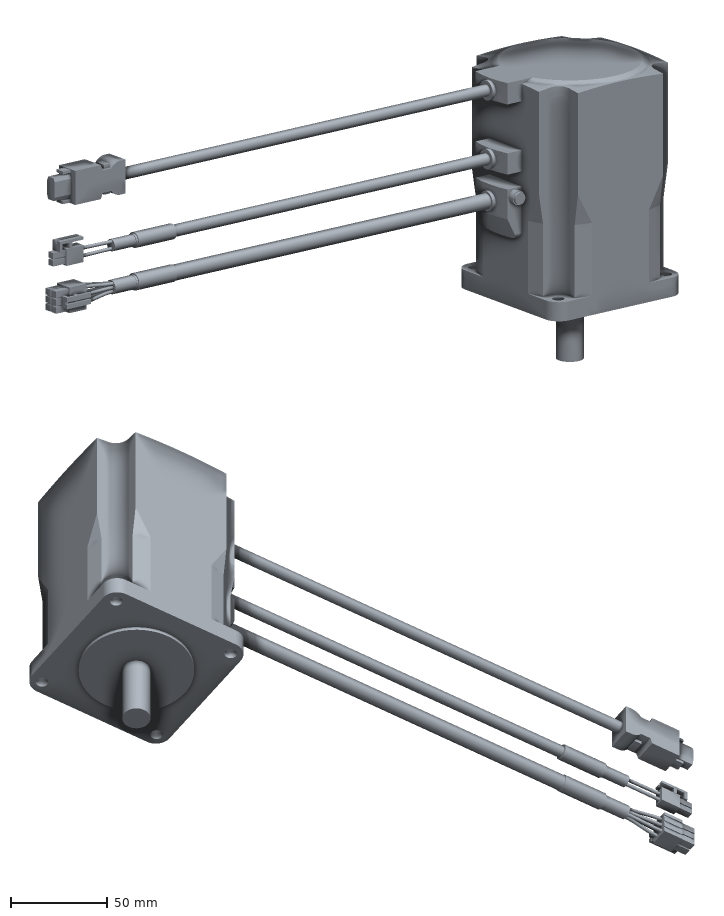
import cadquery as cq
import math

BODY_WIDTH = 85.0
HALF_WIDTH = BODY_WIDTH / 2
CAP_TOP = 125.0
SHAFT_LENGTH = 37.0
SHAFT_RADIUS = 7.5
PILOT_RADIUS = 30.0
PILOT_HEIGHT = 2.0

FLANGE_THICKNESS = 10.5
FLANGE_CORNER_RADIUS = 8.5
MOUNT_HOLE_OFFSET = 35.5
MOUNT_HOLE_RADIUS = 3.27
POCKET_RADIUS = 7.5
POCKET_EDGE = MOUNT_HOLE_OFFSET - POCKET_RADIUS

RELIEF_INNER = 19.0
RELIEF_DEPTH = 2.7
RELIEF_STEP_Z = 50.0
RELIEF_TOP_Z = 67.0

CAP_FLAT_RADIUS = 37.7
CAP_RIM_RADIUS = 41.2
CAP_RIM_Z = 123.5
CAP_CORNER_RADIUS = HALF_WIDTH * math.sqrt(2)
CAP_CORNER_Z = 121.0

BLOCK_HALF_WIDTH = 13.5
BLOCK_HEIGHT = 11.5
BLOCK_SIDE_DEPTH = 9.2
BLOCK_DEPTH = 10.8
POWER_BLOCK_TOP = 67.5
POWER_BLOCK_BOTTOM = 39.3
POWER_SLOPE_Z = 51.2
POWER_BOTTOM_DEPTH = 4.5
POWER_BOTTOM_RADIUS = 3.0
GLAND_RADIUS = 5.5
GLAND_END_DEPTH = 12.7

SCREW_Z = 62.8
SCREW_DEPTH = 4.5
SCREW_RADIUS = 4.0
SCREW_LENGTH = 5.0
SCREW_TIP_RADIUS = 3.27
SCREW_TIP_LENGTH = 1.5

TOTAL_LENGTH = 385.0
TIP_Y = HALF_WIDTH - TOTAL_LENGTH
FACE_Y = -HALF_WIDTH
EMBED = 1.0
ENCODER_Z = 118.5
BRAKE_Z = 81.2
POWER_Z = 58.5
SIGNAL_CABLE_RADIUS = 3.27
POWER_CABLE_RADIUS = 4.2

SLEEVE_BACK = 79.7
SLEEVE_FRONT = 54.5
COLLAR_FRONT = 53.5
JACKET_FRONT = 39.5
BRAKE_SLEEVE_RADIUS = 4.2
POWER_SLEEVE_RADIUS = 4.5
POWER_JACKET_RADIUS = 4.0
COLLAR_STEP = 0.58
WIRE_RADIUS = 0.95
BRAKE_BUNDLE_RATIO = 0.9
POWER_BUNDLE_RATIO = 0.5

PIN_PITCH = 4.2
BRAKE_HOUSING_HALF_WIDTH = 2.9
BRAKE_HOUSING_HALF_HEIGHT = 4.5
POWER_HOUSING_HALF_WIDTH = 7.0
POWER_HOUSING_HALF_HEIGHT = 5.5
HOUSING_BACK = 19.2
HOUSING_FRONT = 8.0
NOSE_INSET = 0.95
NOSE_SLIT = 0.8
HOUSING_GROOVE_WIDTH = 1.5
HOUSING_GROOVE_DEPTH = 0.58
LATCH_TOP = 9.2
LATCH_THICKNESS = 1.5
LATCH_HALF_WIDTH = 3.0
LATCH_SLIT = 1.0
LATCH_FRONT = 3.5
PIVOT_BACK = 12.0
PIVOT_FRONT = 10.0
HOOK_LENGTH = 2.0

PLUG_WIDTH = 13.5
PLUG_HALF_WIDTH = PLUG_WIDTH / 2
PLUG_HALF_HEIGHT = 9.2
PLUG_TOP = 128.5
PLUG_Z = PLUG_TOP - PLUG_HALF_HEIGHT
PLUG_BACK = 44.0
PLUG_FRONT = 10.8
GRIP_START = 40.5
GRIP_MID = 37.0
GRIP_MID_DROP = 0.95
GRIP_FLOOR_BACK = 34.5
GRIP_FLOOR_FRONT = 29.0
GRIP_END = 27.7
GRIP_DEPTH = 3.0
CLIP_X = (-2.5, 4.5)
CLIP_BACK = 35.5
CLIP_FRONT = 31.5
CLIP_HEIGHT = 2.0
PLUG_NOSE_HALF_WIDTH = 3.0
PLUG_NOSE_HALF_HEIGHT = 6.0
PLUG_NOSE_BEVEL_X = 0.8
PLUG_NOSE_BEVEL_Z = 2.0
TAB_HALF_WIDTH = 2.7
TAB_INNER = 7.5
TAB_OUTER = 9.0
TAB_FRONT = 5.8

QUARTER_TURNS = (0, 90, 180, 270)


def box(x_range, y_range, z_range):
    """Box spanning the given (low, high) pairs."""
    spans = (x_range, y_range, z_range)
    size = [high - low for low, high in spans]
    centre = [(high + low) / 2 for low, high in spans]
    return cq.Workplane("XY").box(*size).translate(tuple(centre))


def symmetric_box(half_x, y_range, half_z):
    """Box centred on the Y axis."""
    return box((-half_x, half_x), y_range, (-half_z, half_z))


def rod(radius, y_back, y_front, z):
    """Cylinder along -Y from y_back to y_front at height z."""
    return cq.Workplane("XZ", origin=(0, y_back, z)).circle(radius).extrude(y_back - y_front)


def polyhedron(faces):
    """Solid bounded by flat faces given as lists of points."""
    flat_faces = []
    for points in faces:
        corners = [cq.Vector(*point) for point in points]
        flat_faces.append(cq.Face.makeFromWires(cq.Wire.makePolygon(corners, close=True)))
    return cq.Workplane(obj=cq.Solid.makeSolid(cq.Shell.makeShell(flat_faces)))



def capped_block():
    """Square motor block whose top is a turned shallow cone with a flat cap."""
    block = (
        cq.Workplane("XY")
        .rect(BODY_WIDTH, BODY_WIDTH)
        .extrude(CAP_TOP)
        .edges("|Z")
        .fillet(FLANGE_CORNER_RADIUS)
    )
    turned = (
        cq.Workplane("XZ")
        .moveTo(0, 0)
        .lineTo(CAP_CORNER_RADIUS, 0)
        .lineTo(CAP_CORNER_RADIUS, CAP_CORNER_Z)
        .lineTo(CAP_RIM_RADIUS, CAP_RIM_Z)
        .lineTo(CAP_FLAT_RADIUS, CAP_TOP)
        .lineTo(0, CAP_TOP)
        .close()
        .revolve(360, (0, 0, 0), (0, 1, 0))
    )
    return block.intersect(turned)


def corner_pocket():
    """Screw access pocket above the +X +Y flange corner, with its screw hole."""
    arc_reach = POCKET_RADIUS * math.sqrt(0.5)
    arc_mid = MOUNT_HOLE_OFFSET - arc_reach
    pocket = (
        cq.Workplane("XY", origin=(0, 0, FLANGE_THICKNESS))
        .moveTo(BODY_WIDTH, POCKET_EDGE)
        .lineTo(MOUNT_HOLE_OFFSET, POCKET_EDGE)
        .threePointArc((arc_mid, arc_mid), (POCKET_EDGE, MOUNT_HOLE_OFFSET))
        .lineTo(POCKET_EDGE, BODY_WIDTH)
        .lineTo(BODY_WIDTH, BODY_WIDTH)
        .close()
        .extrude(CAP_TOP)
    )
    hole = (
        cq.Workplane("XY")
        .center(MOUNT_HOLE_OFFSET, MOUNT_HOLE_OFFSET)
        .circle(MOUNT_HOLE_RADIUS)
        .extrude(FLANGE_THICKNESS)
    )
    return pocket.union(hole)


def side_relief():
    """Wedge taken off the +X end of the -Y side, ending in a sloped facet."""
    inner_low = (RELIEF_INNER, FACE_Y, FLANGE_THICKNESS)
    outer_low = (POCKET_EDGE, FACE_Y, FLANGE_THICKNESS)
    deep_low = (POCKET_EDGE, FACE_Y + RELIEF_DEPTH, FLANGE_THICKNESS)
    inner_step = (RELIEF_INNER, FACE_Y, RELIEF_STEP_Z)
    deep_step = (POCKET_EDGE, FACE_Y + RELIEF_DEPTH, RELIEF_STEP_Z)
    outer_top = (POCKET_EDGE, FACE_Y, RELIEF_TOP_Z)
    return polyhedron([
        [inner_low, outer_low, deep_low],
        [inner_low, inner_step, outer_top, outer_low],
        [outer_low, outer_top, deep_step, deep_low],
        [inner_low, deep_low, deep_step, inner_step],
        [inner_step, deep_step, outer_top],
    ])


def motor():
    body = capped_block()
    pocket = corner_pocket()
    relief = side_relief()
    mirrored_relief = relief.mirror("YZ")
    for angle in QUARTER_TURNS:
        for cutter in (pocket, relief, mirrored_relief):
            body = body.cut(cutter.rotate((0, 0, 0), (0, 0, 1), angle))
    pilot = cq.Workplane("XY").circle(PILOT_RADIUS).extrude(-PILOT_HEIGHT)
    shaft = cq.Workplane("XY").circle(SHAFT_RADIUS).extrude(-SHAFT_LENGTH)
    return body.union(pilot).union(shaft)



def block_section(z, y_inside, depth_cut):
    """Workplane at height z holding the bowed block outline, set back by depth_cut."""
    side_y = FACE_Y - BLOCK_SIDE_DEPTH + depth_cut
    front_y = FACE_Y - BLOCK_DEPTH + depth_cut
    return (
        cq.Workplane("XY", origin=(0, 0, z))
        .moveTo(-BLOCK_HALF_WIDTH, y_inside)
        .lineTo(-BLOCK_HALF_WIDTH, side_y)
        .threePointArc((0, front_y), (BLOCK_HALF_WIDTH, side_y))
        .lineTo(BLOCK_HALF_WIDTH, y_inside)
        .close()
    )


def entry_block(z_bottom, z_top, y_inside):
    """Entry block with a bowed front face, starting inside the motor at y_inside."""
    return block_section(z_bottom, y_inside, 0).extrude(z_top - z_bottom)


def power_block():
    """Taller entry block whose bowed front slopes back to rounded lower corners."""
    y_inside = FACE_Y + EMBED
    upper = entry_block(POWER_SLOPE_Z, POWER_BLOCK_TOP, y_inside)
    set_back = BLOCK_DEPTH - POWER_BOTTOM_DEPTH
    sections = [
        block_section(POWER_BLOCK_BOTTOM, y_inside, set_back).val(),
        block_section(POWER_SLOPE_Z, y_inside, 0).val(),
    ]
    lower = cq.Workplane(obj=cq.Solid.makeLoft(sections, True))
    rounded_front = box(
        (-BLOCK_HALF_WIDTH, BLOCK_HALF_WIDTH),
        (FACE_Y - BLOCK_DEPTH, y_inside),
        (POWER_BLOCK_BOTTOM, POWER_BLOCK_TOP),
    )
    rounded_front = rounded_front.edges("|Y and <Z").fillet(POWER_BOTTOM_RADIUS)
    return upper.union(lower).intersect(rounded_front)


def ground_screw():
    origin = (BLOCK_HALF_WIDTH - EMBED, FACE_Y - SCREW_DEPTH, SCREW_Z)
    return (
        cq.Workplane("YZ", origin=origin)
        .circle(SCREW_RADIUS)
        .extrude(EMBED + SCREW_LENGTH - SCREW_TIP_LENGTH)
        .faces(">X")
        .workplane()
        .circle(SCREW_TIP_RADIUS)
        .extrude(SCREW_TIP_LENGTH)
    )


def gland(z):
    return rod(GLAND_RADIUS, FACE_Y - BLOCK_SIDE_DEPTH, FACE_Y - GLAND_END_DEPTH, z)


def cable_entries():
    encoder_inside = -math.sqrt(CAP_FLAT_RADIUS**2 - BLOCK_HALF_WIDTH**2)
    half_height = BLOCK_HEIGHT / 2
    parts = [
        entry_block(CAP_TOP - BLOCK_HEIGHT, CAP_TOP, encoder_inside),
        entry_block(BRAKE_Z - half_height, BRAKE_Z + half_height, FACE_Y + EMBED),
        power_block(),
        ground_screw(),
    ]
    parts += [gland(z) for z in (ENCODER_Z, BRAKE_Z, POWER_Z)]
    return parts



def latch(housing_half_height, nose_half_height):
    """Rocking latch: a plate split along its length on a pivot, with a hook reaching the nose."""
    underside = LATCH_TOP - LATCH_THICKNESS
    hook_back = LATCH_FRONT + HOOK_LENGTH
    across = (-LATCH_HALF_WIDTH, LATCH_HALF_WIDTH)
    plate = box(across, (LATCH_FRONT, HOUSING_BACK), (underside, LATCH_TOP))
    pivot = box(across, (PIVOT_FRONT, PIVOT_BACK), (housing_half_height, underside))
    hook = box(across, (LATCH_FRONT, hook_back), (nose_half_height, underside))
    half_slit = LATCH_SLIT / 2
    slit = box((-half_slit, half_slit), (LATCH_FRONT, HOUSING_BACK), (underside, LATCH_TOP))
    return plate.cut(slit).union(pivot).union(hook)


def pin_offsets(count):
    """Pin positions along one direction, centred on zero."""
    return [PIN_PITCH * (index - (count - 1) / 2) for index in range(count)]


def wire(x, z, bundle_ratio):
    """Wire to the pin at (x, z), leaving the jacket bundled closer to the cable axis."""
    start = (x * bundle_ratio, JACKET_FRONT + EMBED, z * bundle_ratio)
    end = (x, HOUSING_BACK - EMBED, z)
    along = (0, -1, 0)
    path = cq.Workplane("XY").spline([start, end], tangents=[along, along])
    return cq.Workplane("XZ", origin=start).circle(WIRE_RADIUS).sweep(path)


def wire_connector(columns, rows, half_width, half_height, bundle_ratio):
    """Latched housing with a split nose and one wire for each pin."""
    nose_half_width = half_width - NOSE_INSET
    nose_half_height = half_height - NOSE_INSET
    housing = symmetric_box(half_width, (HOUSING_FRONT, HOUSING_BACK), half_height)
    nose = symmetric_box(nose_half_width, (0, HOUSING_FRONT), nose_half_height)
    half_slit = NOSE_SLIT / 2
    for x in pin_offsets(columns - 1):
        gap = symmetric_box(half_slit, (0, HOUSING_FRONT), nose_half_height)
        nose = nose.cut(gap.translate((x, 0, 0)))
    for z in pin_offsets(rows - 1):
        gap = symmetric_box(nose_half_width, (0, HOUSING_FRONT), half_slit)
        nose = nose.cut(gap.translate((0, 0, z)))
    if columns > 1:
        for x in pin_offsets(columns):
            groove = symmetric_box(
                HOUSING_GROOVE_WIDTH / 2, (HOUSING_FRONT, HOUSING_BACK), HOUSING_GROOVE_DEPTH
            )
            housing = housing.cut(groove.translate((x, 0, -half_height)))
    connector = housing.union(nose).union(latch(half_height, nose_half_height))
    for x in pin_offsets(columns):
        for z in pin_offsets(rows):
            connector = connector.union(wire(x, z, bundle_ratio))
    return connector


def sleeved_cable(z, cable_radius, sleeve_radius, jacket_radius):
    """Cable with a heat-shrink sleeve, a small collar and the bare jacket after it."""
    sleeve_y = TIP_Y + SLEEVE_BACK
    collar_y = TIP_Y + SLEEVE_FRONT
    jacket_y = TIP_Y + COLLAR_FRONT
    return [
        rod(cable_radius, FACE_Y - BLOCK_DEPTH, sleeve_y, z),
        rod(sleeve_radius, sleeve_y, collar_y, z),
        rod(sleeve_radius - COLLAR_STEP, collar_y, jacket_y, z),
        rod(jacket_radius, jacket_y, TIP_Y + JACKET_FRONT, z),
    ]


def brake_lead():
    connector = wire_connector(
        columns=1,
        rows=2,
        half_width=BRAKE_HOUSING_HALF_WIDTH,
        half_height=BRAKE_HOUSING_HALF_HEIGHT,
        bundle_ratio=BRAKE_BUNDLE_RATIO,
    )
    parts = sleeved_cable(BRAKE_Z, SIGNAL_CABLE_RADIUS, BRAKE_SLEEVE_RADIUS, SIGNAL_CABLE_RADIUS)
    return parts + [connector.translate((0, TIP_Y, BRAKE_Z))]


def power_lead():
    connector = wire_connector(
        columns=3,
        rows=2,
        half_width=POWER_HOUSING_HALF_WIDTH,
        half_height=POWER_HOUSING_HALF_HEIGHT,
        bundle_ratio=POWER_BUNDLE_RATIO,
    )
    connector = connector.rotate((0, 0, 0), (0, 1, 0), 90)
    parts = sleeved_cable(POWER_Z, POWER_CABLE_RADIUS, POWER_SLEEVE_RADIUS, POWER_JACKET_RADIUS)
    return parts + [connector.translate((0, TIP_Y, POWER_Z))]



def plug_grip():
    """Cutter for the finger grip across the top of the encoder plug."""
    floor_z = PLUG_HALF_HEIGHT - GRIP_DEPTH
    return (
        cq.Workplane("YZ", origin=(-PLUG_HALF_WIDTH, 0, 0))
        .moveTo(GRIP_START, PLUG_HALF_HEIGHT)
        .threePointArc((GRIP_MID, PLUG_HALF_HEIGHT - GRIP_MID_DROP), (GRIP_FLOOR_BACK, floor_z))
        .lineTo(GRIP_FLOOR_FRONT, floor_z)
        .lineTo(GRIP_END, PLUG_HALF_HEIGHT)
        .close()
        .extrude(2 * PLUG_HALF_WIDTH)
    )


def plug_nose():
    """Mating nose with bevelled long edges."""
    outer_x = PLUG_NOSE_HALF_WIDTH
    outer_z = PLUG_NOSE_HALF_HEIGHT
    inner_x = outer_x - PLUG_NOSE_BEVEL_X
    inner_z = outer_z - PLUG_NOSE_BEVEL_Z
    half_outline = [(inner_x, -outer_z), (outer_x, -inner_z), (outer_x, inner_z), (inner_x, outer_z)]
    other_half = [(-x, -z) for x, z in half_outline]
    return cq.Workplane("XZ").polyline(half_outline + other_half).close().extrude(-PLUG_FRONT)


def encoder_plug():
    """Plug around the Y axis with its mating tip at Y = 0."""
    plug = symmetric_box(PLUG_HALF_WIDTH, (PLUG_FRONT, PLUG_BACK), PLUG_HALF_HEIGHT)
    grip = plug_grip()
    floor_z = PLUG_HALF_HEIGHT - GRIP_DEPTH
    clip = box(CLIP_X, (CLIP_FRONT, CLIP_BACK), (floor_z - EMBED, floor_z + CLIP_HEIGHT))
    tab = box((-TAB_HALF_WIDTH, TAB_HALF_WIDTH), (TAB_FRONT, PLUG_FRONT), (TAB_INNER, TAB_OUTER))
    plug = plug.cut(grip).cut(grip.mirror("XY"))
    for addition in (clip, tab):
        plug = plug.union(addition).union(addition.mirror("XY"))
    return plug.union(plug_nose())


def encoder_lead():
    cable = rod(SIGNAL_CABLE_RADIUS, FACE_Y - BLOCK_DEPTH, TIP_Y + PLUG_BACK, ENCODER_Z)
    return [cable, encoder_plug().translate((0, TIP_Y, PLUG_Z))]



result = motor()
for piece in cable_entries() + encoder_lead() + brake_lead() + power_lead():
    result = result.union(piece)